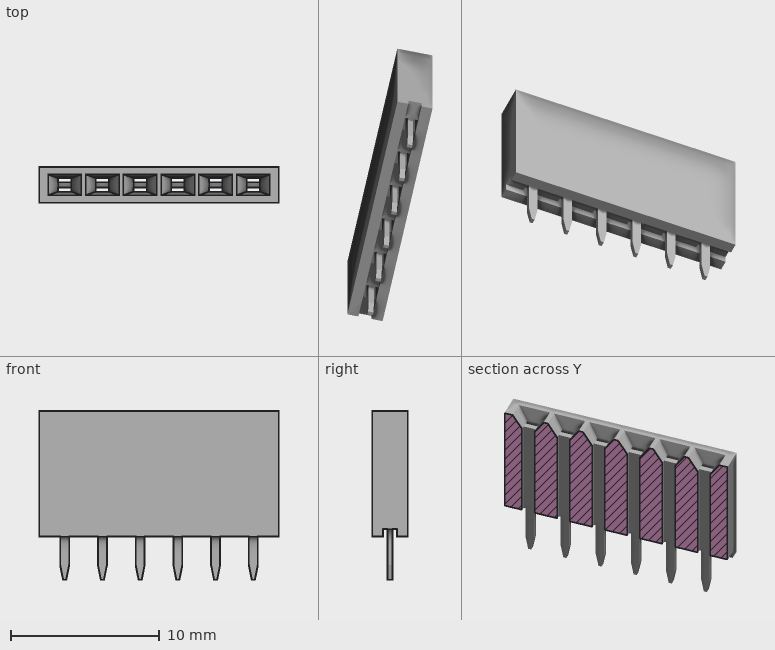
import cadquery as cq

length = 16.15
width = 2.42
overall_height = 11.38
pin_reach = 2.92
housing_height = overall_height - pin_reach

pin_count = 6
pitch = 2.54
pin_positions = [(i - (pin_count - 1) / 2) * pitch for i in range(pin_count)]

groove_width = 0.92
groove_depth = 0.5

mouth_length = 2.24
mouth_width = 1.4
mouth_depth = 1.0
cavity_length = 0.88
cavity_width = groove_width
cavity_top = housing_height - mouth_depth

pin_thickness = 0.36
leg_width = 0.62
tip_width = 0.22
tip_length = 1.0
head_width = cavity_length
head_bottom = groove_depth
head_top = cavity_top


def make_socket(x):
    """Void of one socket: the straight cavity and its tapered mouth."""
    cavity = cq.Workplane("XY").box(
        cavity_length, cavity_width, cavity_top, centered=(True, True, False)
    )
    mouth = (
        cq.Workplane("XY", origin=(0, 0, cavity_top))
        .rect(cavity_length, cavity_width)
        .workplane(offset=mouth_depth)
        .rect(mouth_length, mouth_width)
        .loft(ruled=True)
    )
    return cavity.union(mouth).translate((x, 0, 0))


def make_housing():
    """Rectangular block with an underside groove and a row of sockets."""
    block = cq.Workplane("XY").box(length, width, housing_height, centered=(True, True, False))
    groove = cq.Workplane("XY").box(length, groove_width, groove_depth, centered=(True, True, False))
    block = block.cut(groove)
    for x in pin_positions:
        block = block.cut(make_socket(x))
    return block


def make_pin(x):
    """Flat pin with its profile in the XZ plane, centred across the housing."""
    right_side = [
        (head_width / 2, head_top),
        (head_width / 2, head_bottom),
        (leg_width / 2, head_bottom),
        (leg_width / 2, tip_length - pin_reach),
        (tip_width / 2, -pin_reach),
    ]
    left_side = [(-px, pz) for px, pz in reversed(right_side)]
    return (
        cq.Workplane("XZ")
        .polyline(right_side + left_side)
        .close()
        .extrude(pin_thickness / 2, both=True)
        .translate((x, 0, 0))
    )


housing = make_housing()
pins = [make_pin(x) for x in pin_positions]

result = cq.Compound.makeCompound([housing.val(), *[pin.val() for pin in pins]])